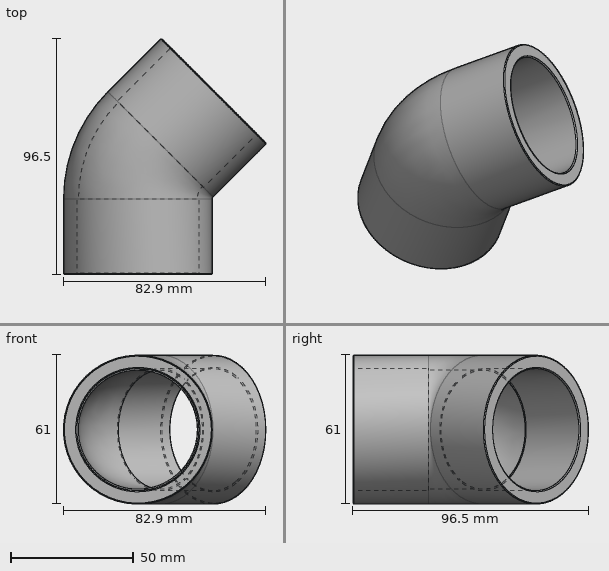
import cadquery as cq

outer_diameter = 61.0
bore_diameter = 50.0
bend_bore_diameter = 48.7
bend_angle = 45
bend_radius = 31.5
socket_length = 31.0
outer_chamfer = 0.4
bore_chamfer = 0.5

outer_radius = outer_diameter / 2
bore_radius = bore_diameter / 2


def bend(diameter):
    """Round bar along the bend, starting at the origin along +Y and turning to +X."""
    return (
        cq.Workplane("XZ")
        .circle(diameter / 2)
        .revolve(bend_angle, (bend_radius, 1, 0), (bend_radius, 0, 0))
    )


def turned(profile):
    """Body of revolution about Y from (radius, y) points."""
    return cq.Workplane("XY").polyline(profile).close().revolve(360, (0, 0, 0), (0, 1, 0))


def at_far_end(shape):
    """Move a shape from the straight end to the matching place on the angled end."""
    return (
        shape.mirror("XZ")
        .rotate((bend_radius, 0, 0), (bend_radius, 0, 1), -bend_angle)
    )


mouth_y = -socket_length
sleeve = turned([
    (0, 0),
    (outer_radius, 0),
    (outer_radius, mouth_y + outer_chamfer),
    (outer_radius - outer_chamfer, mouth_y),
    (0, mouth_y),
])

socket = turned([
    (0, 0),
    (bore_radius, 0),
    (bore_radius, mouth_y + bore_chamfer),
    (bore_radius + bore_chamfer, mouth_y),
    (0, mouth_y),
])

body = bend(outer_diameter).union(sleeve).union(at_far_end(sleeve))
cavity = bend(bend_bore_diameter).union(socket).union(at_far_end(socket))

result = body.cut(cavity).translate((0, socket_length, 0))